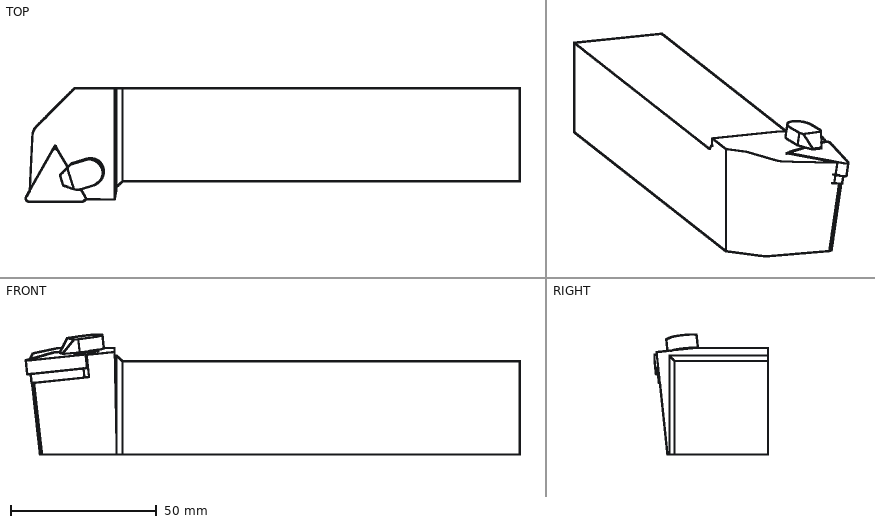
import cadquery as cq
import math


TOOL_LENGTH = 169.5
SHANK_SIZE = 32.0
SHANK_START = 33.2
FLARE_SIZE = 1.9
FLARE_START = 31.2
FLARE_OVERLAP = 1.7

HEAD_HEIGHT = 36.6
RELIEF = 0.105
LEFT_X_AT_BOTTOM = 4.9
LEFT_SKEW = 0.06
FRONT_Y_AT_BOTTOM = -2.5
BACK_X_AT_BOTTOM = 31.2
BACK_LEAN = 0.02
BEVEL_OFFSET = 15.2
BEVEL_BLEND = 4.7
EDGE_CUT_X = 0.8
EDGE_CUT_Y = 1.2

CREASE_SUM = 37.8
TOP_SLOPE = 0.105

INSERT_SIDE = 22.4
NOSE_RADIUS = 1.2
INSERT_THICKNESS = 4.7
INSERT_PROUD = 0.25
INSERT_FRONT_Y = -7.0
SEAT_THICKNESS = 3.2
SEAT_INSET = 0.7

CLAMP_TOE_X = 13.4
CLAMP_TOE_Y = 7.5
CLAMP_ANGLE = 17.0
CLAMP_TOP = 5.3
CLAMP_BOTTOM = 0.7
POST_AT = 10.5
POST_RADIUS = 2.7
CLAMP_HALF_WIDTH = 4.5
TOE_HALF_WIDTH = 1.9
SHOULDER_AT = 5.0
ARC_AT = 10.7
CLAMP_LENGTH = 15.0
RAMP_RUN = 3.7
TOE_EDGE = 1.0

CUTTER_SIZE = 101.7

CORNER_X = -(math.sqrt(3) - 1) * NOSE_RADIUS
CORNER_Z = HEAD_HEIGHT - TOP_SLOPE * (CREASE_SUM - CORNER_X - INSERT_FRONT_Y)
TOP_FRAME = cq.Plane(
    origin=(CORNER_X, INSERT_FRONT_Y, CORNER_Z),
    xDir=(1, 0, TOP_SLOPE),
    normal=(-TOP_SLOPE, -TOP_SLOPE, 1),
)


def triangle_prism(inset, bottom, top):
    """Prism on the insert triangle, pulled in by inset, between two heights over the top face."""
    side = INSERT_SIDE - 2 * math.sqrt(3) * inset
    start_x = math.sqrt(3) * inset
    points = [
        (start_x, inset),
        (start_x + side, inset),
        (start_x + side / 2, inset + side * math.sqrt(3) / 2),
    ]
    return cq.Workplane(TOP_FRAME).workplane(offset=bottom).polyline(points).close().extrude(top - bottom)


def make_shank():
    shank_length = TOOL_LENGTH - SHANK_START
    shank = cq.Workplane("XY").box(shank_length, SHANK_SIZE, SHANK_SIZE, centered=False)
    shank = shank.translate((SHANK_START, 0, 0))
    flare_side = SHANK_SIZE + FLARE_SIZE
    flare = (
        cq.Workplane("YZ", origin=(FLARE_START, 0, 0))
        .moveTo(-FLARE_SIZE, 0).rect(flare_side, flare_side, centered=False)
        .workplane(offset=SHANK_START - FLARE_START)
        .moveTo(0, 0).rect(SHANK_SIZE, SHANK_SIZE, centered=False)
        .loft(ruled=True)
    )
    collar = cq.Workplane("XY").box(FLARE_OVERLAP, flare_side, flare_side, centered=False)
    collar = collar.translate((FLARE_START - FLARE_OVERLAP, -FLARE_SIZE, 0))
    return shank.union(flare).union(collar)


def head_section(z):
    """Corners of the head at height z."""
    front_y = FRONT_Y_AT_BOTTOM - RELIEF * z
    left_x = LEFT_X_AT_BOTTOM - RELIEF * z
    back_x = BACK_X_AT_BOTTOM - BACK_LEAN * z
    bevel_x = (left_x + LEFT_SKEW * BEVEL_OFFSET) / (1 - LEFT_SKEW)
    cut_y = front_y + EDGE_CUT_Y
    return [
        (left_x + LEFT_SKEW * front_y + EDGE_CUT_X, front_y),
        (back_x, front_y),
        (back_x, SHANK_SIZE),
        (SHANK_SIZE - BEVEL_OFFSET, SHANK_SIZE),
        (bevel_x, bevel_x + BEVEL_OFFSET),
        (left_x + LEFT_SKEW * cut_y, cut_y),
    ]


def make_head():
    head = (
        cq.Workplane("XY").polyline(head_section(0)).close()
        .workplane(offset=HEAD_HEIGHT).polyline(head_section(HEAD_HEIGHT)).close()
        .loft(ruled=True)
    )
    bevel_x, bevel_y = head_section(HEAD_HEIGHT / 2)[4]
    blend_edge = cq.selectors.NearestToPointSelector((bevel_x, bevel_y, HEAD_HEIGHT / 2))
    head = head.edges(blend_edge).fillet(BEVEL_BLEND)
    above_top_face = cq.Workplane(TOP_FRAME).rect(CUTTER_SIZE, CUTTER_SIZE).extrude(CUTTER_SIZE)
    return head.cut(above_top_face)


def make_clamp():
    toe = cq.Plane(
        origin=TOP_FRAME.toWorldCoords((CLAMP_TOE_X, CLAMP_TOE_Y, 0)),
        xDir=TOP_FRAME.xDir,
        normal=TOP_FRAME.zDir,
    ).rotated((0, 0, CLAMP_ANGLE))
    clamp = (
        cq.Workplane(toe).workplane(offset=CLAMP_BOTTOM)
        .moveTo(0, -TOE_HALF_WIDTH)
        .lineTo(SHOULDER_AT, -CLAMP_HALF_WIDTH)
        .lineTo(ARC_AT, -CLAMP_HALF_WIDTH)
        .threePointArc((CLAMP_LENGTH, 0), (ARC_AT, CLAMP_HALF_WIDTH))
        .lineTo(SHOULDER_AT, CLAMP_HALF_WIDTH)
        .lineTo(0, TOE_HALF_WIDTH)
        .close()
        .extrude(CLAMP_TOP - CLAMP_BOTTOM)
    )
    side_plane = cq.Plane(origin=toe.origin, xDir=toe.xDir, normal=-toe.yDir)
    ramp = (
        cq.Workplane(side_plane)
        .polyline([(0, TOE_EDGE), (RAMP_RUN, CLAMP_TOP), (0, CLAMP_TOP)]).close()
        .extrude(CLAMP_HALF_WIDTH, both=True)
    )
    post = cq.Workplane(toe).center(POST_AT, 0).circle(POST_RADIUS).extrude(CLAMP_TOP)
    return clamp.cut(ramp).union(post)


def make_insert():
    insert = triangle_prism(0, INSERT_PROUD - INSERT_THICKNESS, INSERT_PROUD)
    corners = cq.selectors.ParallelDirSelector(TOP_FRAME.zDir)
    return insert.edges(corners).fillet(NOSE_RADIUS)


def make_holder(insert):
    seat_top = INSERT_PROUD - INSERT_THICKNESS
    seat_bottom = seat_top - SEAT_THICKNESS
    pocket = triangle_prism(0, seat_bottom, INSERT_PROUD)
    seat = triangle_prism(SEAT_INSET, seat_bottom, seat_top)
    corners = cq.selectors.ParallelDirSelector(TOP_FRAME.zDir)
    seat = seat.edges(corners).fillet(NOSE_RADIUS)
    body = make_head().union(make_shank()).cut(pocket).union(seat)
    return body.union(make_clamp()).cut(insert)


insert = make_insert()
holder = make_holder(insert)
result = cq.Compound.makeCompound([holder.solids().val(), insert.solids().val()])